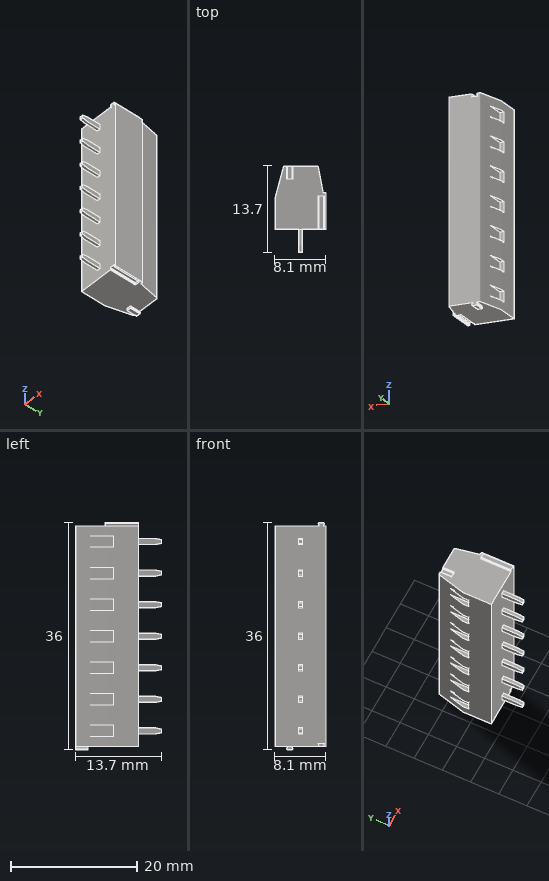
import cadquery as cq

POLES = 7
PITCH = 5.0
HOUSING_WIDTH = 8.1
HOUSING_DEPTH = 10.0
HOUSING_HEIGHT = POLES * PITCH

WIRE_SLOPE_START_Y = 5.0
REAR_LEFT_X = 1.35
REAR_RIGHT_X = 6.85
REAR_ROUNDING = 0.2
LEDGE_X = 7.65
LEDGE_Y = 5.8
LEDGE_ROUNDING = 0.2

WINDOW_HEIGHT = 1.8
WINDOW_FRONT_Y = 4.0
WINDOW_FLOOR_X = 0.7

PIN_X = HOUSING_WIDTH / 2
PIN_WIDTH = 0.6
PIN_HEIGHT = 1.0
PIN_LENGTH = 3.65
PIN_TAPER_LENGTH = 1.0
PIN_TIP_HEIGHT = 0.6

DOVETAIL_HEIGHT = 0.5
DOVETAIL_WIDE = 1.0
DOVETAIL_NARROW = 0.75
DOVETAIL_CHAMFER = 0.12
FRONT_DOVETAIL_X = 7.33
FRONT_DOVETAIL_LENGTH = 5.3
REAR_DOVETAIL_X = 2.33
REAR_DOVETAIL_LENGTH = 2.0


def make_housing():
    """Terminal block body, extruded along the row of poles."""
    body = (
        cq.Workplane("XY")
        .polyline([
            (0, 0),
            (HOUSING_WIDTH, 0),
            (HOUSING_WIDTH, LEDGE_Y),
            (LEDGE_X, LEDGE_Y),
            (REAR_RIGHT_X, HOUSING_DEPTH),
            (REAR_LEFT_X, HOUSING_DEPTH),
            (0, WIRE_SLOPE_START_Y),
        ])
        .close()
        .extrude(HOUSING_HEIGHT)
    )
    body = body.edges("|Z and >Y").fillet(REAR_ROUNDING)
    ledge_corner = cq.selectors.NearestToPointSelector((HOUSING_WIDTH, LEDGE_Y, HOUSING_HEIGHT / 2))
    return body.edges("|Z").edges(ledge_corner).fillet(LEDGE_ROUNDING)


def make_window(pole_z):
    """Cutter for one wire window, with a floor parallel to the side wall."""
    window_depth = HOUSING_DEPTH - WINDOW_FRONT_Y
    return (
        cq.Workplane("XY", origin=(0, WINDOW_FRONT_Y, pole_z))
        .box(WINDOW_FLOOR_X, window_depth, WINDOW_HEIGHT, centered=(False, False, True))
    )


def make_pin(pole_z):
    """Flat solder pin that narrows in height toward its tip."""
    half_height = PIN_HEIGHT / 2
    half_tip = PIN_TIP_HEIGHT / 2
    taper_start = PIN_TAPER_LENGTH - PIN_LENGTH
    return (
        cq.Workplane("YZ")
        .polyline([
            (0, -half_height),
            (0, half_height),
            (taper_start, half_height),
            (-PIN_LENGTH, half_tip),
            (-PIN_LENGTH, -half_tip),
            (taper_start, -half_height),
        ])
        .close()
        .extrude(PIN_WIDTH / 2, both=True)
        .translate((PIN_X, 0, pole_z))
    )


def make_dovetail(profile, center_x, front_y, length, face_z):
    """Bar along Y whose section is symmetric; profile lists (width, z offset from the end face)."""
    right_side = [(width / 2, face_z + offset) for width, offset in profile]
    left_side = [(-x, z) for x, z in reversed(right_side)]
    return (
        cq.Workplane("XZ", origin=(center_x, front_y, 0))
        .polyline(right_side + left_side)
        .close()
        .extrude(-length)
    )


def make_rail(center_x, front_y, length, face_z, outward):
    """Dovetail rail with chamfered tip; outward is +1 for up and -1 for down."""
    profile = [
        (DOVETAIL_NARROW, 0),
        (DOVETAIL_WIDE, outward * (DOVETAIL_HEIGHT - DOVETAIL_CHAMFER)),
        (DOVETAIL_WIDE - 2 * DOVETAIL_CHAMFER, outward * DOVETAIL_HEIGHT),
    ]
    return make_dovetail(profile, center_x, front_y, length, face_z)


def make_groove(center_x, front_y, length, face_z, outward):
    """Cutter for a dovetail groove with chamfered mouth, sunk against the outward direction."""
    profile = [
        (DOVETAIL_NARROW + 2 * DOVETAIL_CHAMFER, 0),
        (DOVETAIL_NARROW, -outward * DOVETAIL_CHAMFER),
        (DOVETAIL_WIDE, -outward * DOVETAIL_HEIGHT),
    ]
    return make_dovetail(profile, center_x, front_y, length, face_z)


rear_dovetail_y = HOUSING_DEPTH - REAR_DOVETAIL_LENGTH
front_dovetail = (FRONT_DOVETAIL_X, 0, FRONT_DOVETAIL_LENGTH)
rear_dovetail = (REAR_DOVETAIL_X, rear_dovetail_y, REAR_DOVETAIL_LENGTH)

result = make_housing()

result = result.union(make_rail(*front_dovetail, HOUSING_HEIGHT, 1))
result = result.cut(make_groove(*rear_dovetail, HOUSING_HEIGHT, 1))

result = result.cut(make_groove(*front_dovetail, 0, -1))
result = result.union(make_rail(*rear_dovetail, 0, -1))

for pole in range(POLES):
    pole_center_z = (pole + 0.5) * PITCH
    result = result.cut(make_window(pole_center_z))
    result = result.union(make_pin(pole_center_z))